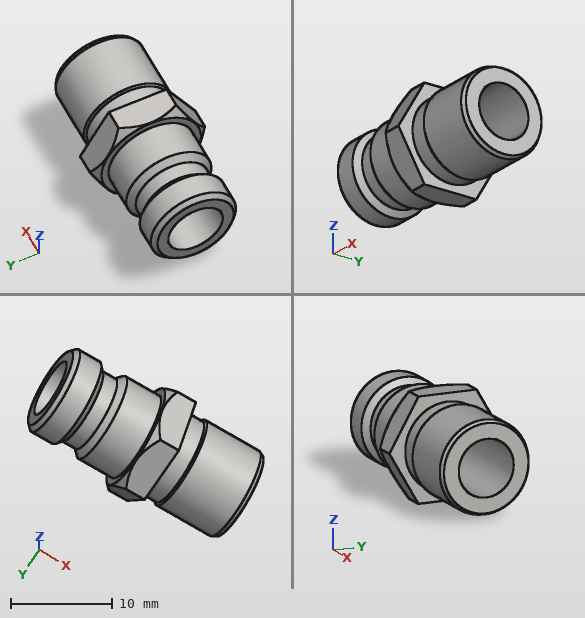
import cadquery as cq
import math

length = 22.0
bore_diameter = 6.0

plug_diameter = 9.4
plug_chamfer = 0.5
groove_diameter = 8.0
groove_start = 3.0
groove_floor_start = 3.65
groove_floor_end = 5.28
groove_end = 6.0

hex_across_flats = 11.0
hex_start = 9.97
hex_end = 13.0
hex_face_diameter = 10.93

neck_diameter = 9.25
thread_diameter = 9.72
thread_start = 15.05
thread_start_chamfer = 0.18
thread_end_chamfer = 0.48
thread_end_diameter = neck_diameter

plug_radius = plug_diameter / 2
groove_radius = groove_diameter / 2
neck_radius = neck_diameter / 2
thread_radius = thread_diameter / 2
hex_width = hex_end - hex_start
hex_across_corners = hex_across_flats / math.cos(math.pi / 6)


def revolve_about_x(points):
    """Turn a closed (x, radius) outline about the X axis."""
    return cq.Workplane("XY").polyline(points).close().revolve(360, (0, 0, 0), (1, 0, 0))


def turned_body():
    """Plug, locking groove, neck and threaded end as one turned shape."""
    return revolve_about_x([
        (0, 0),
        (0, plug_radius - plug_chamfer),
        (plug_chamfer, plug_radius),
        (groove_start, plug_radius),
        (groove_floor_start, groove_radius),
        (groove_floor_end, groove_radius),
        (groove_end, plug_radius),
        (hex_start, plug_radius),
        (hex_start, neck_radius),
        (thread_start, neck_radius),
        (thread_start + thread_start_chamfer, thread_radius),
        (length - thread_end_chamfer, thread_radius),
        (length, thread_end_diameter / 2),
        (length, 0),
    ])


def hex_collar():
    """Hexagon whose corners are turned off at 45 degrees on the plug side."""
    prism = (
        cq.Workplane("YZ", origin=(hex_start, 0, 0))
        .polygon(6, hex_across_corners)
        .extrude(hex_width)
    )
    face_radius = hex_face_diameter / 2
    cone = revolve_about_x([
        (hex_start, 0),
        (hex_start, face_radius),
        (hex_end, face_radius + hex_width),
        (hex_end, 0),
    ])
    return prism.intersect(cone)


def through_bore():
    """Plain bore along the whole length."""
    return cq.Workplane("YZ").circle(bore_diameter / 2).extrude(length)


result = turned_body().union(hex_collar()).cut(through_bore())